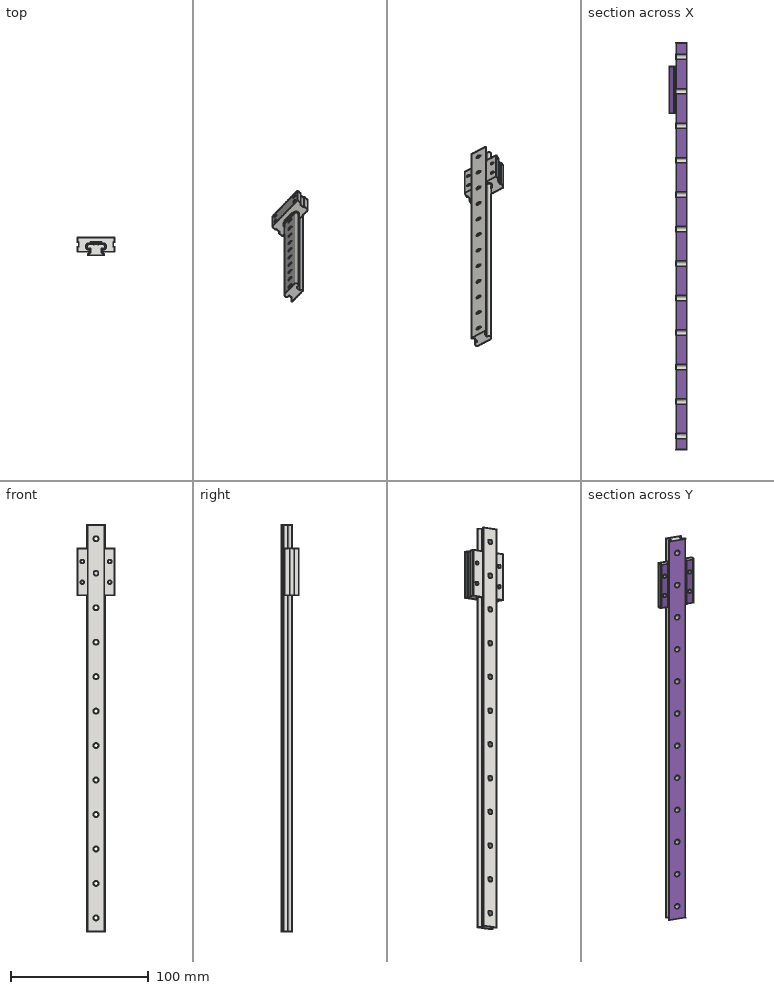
import cadquery as cq

RAIL_LENGTH = 295.0
RAIL_HEIGHT = 8.0
BASE_HALF_WIDTH = 6.0
BASE_EDGE_HEIGHT = 0.8
NECK_HALF_WIDTH = 4.0
NECK_BOTTOM = 2.0
HEAD_RADIUS = 1.6
HEAD_HALF_WIDTH = 6.6
HEAD_CENTER_Y = RAIL_HEIGHT - HEAD_RADIUS

RAIL_HOLE_DIAMETER = 3.5
RAIL_HOLE_PITCH = 25.0
RAIL_HOLE_COUNT = 12
RAIL_HOLE_SPAN = (RAIL_HOLE_COUNT - 1) * RAIL_HOLE_PITCH
RAIL_FIRST_HOLE_Z = (RAIL_LENGTH - RAIL_HOLE_SPAN) / 2

CARRIAGE_WIDTH = 27.0
CARRIAGE_LENGTH = 34.0
CARRIAGE_BOTTOM = 2.5
CARRIAGE_TOP = 13.0
CARRIAGE_END_GAP = 17.0
CARRIAGE_BASE_Z = RAIL_LENGTH - CARRIAGE_END_GAP - CARRIAGE_LENGTH
CARRIAGE_MIDDLE_Z = CARRIAGE_BASE_Z + CARRIAGE_LENGTH / 2
CORNER_CHAMFER = 0.3

SIDE_GROOVE_DEPTH = 0.9
SIDE_GROOVE_BOTTOM = 6.2
SIDE_GROOVE_TOP = 9.6

MOUNT_HOLE_DIAMETER = 2.5
MOUNT_HOLE_PITCH_X = 20.0
MOUNT_HOLE_PITCH_Z = 15.0

LINER_THICKNESS = 0.85
SLOT_HALF_WIDTH = 4.6
SLOT_FLARE = 0.5
TOP_LINER_HALF_WIDTH = 4.0
TOP_LINER_CLEARANCE = 0.65


def carriage_plane():
    """XY work plane at the lower end of the carriage."""
    return cq.Workplane("XY").workplane(offset=CARRIAGE_BASE_Z)


def carriage_box(x_min, x_max, y_min, y_max):
    """Bar along the full carriage length with the given XY limits."""
    middle = carriage_plane().center((x_min + x_max) / 2, (y_min + y_max) / 2)
    return middle.rect(x_max - x_min, y_max - y_min).extrude(CARRIAGE_LENGTH)


def cross_hole(diameter, x, z):
    """Cylinder along +Y, long enough to pierce the rail or the carriage at (x, z)."""
    return cq.Workplane("XZ").center(x, z).circle(diameter / 2).extrude(-CARRIAGE_TOP)


def head_outline(plane, offset):
    """Rail head outline grown evenly by an offset."""
    length = 2 * (HEAD_HALF_WIDTH + offset)
    return plane.center(0, HEAD_CENTER_Y).slot2D(length, 2 * (HEAD_RADIUS + offset))


def make_rail():
    foot = (
        cq.Workplane("XY")
        .moveTo(-BASE_HALF_WIDTH, 0)
        .lineTo(BASE_HALF_WIDTH, 0)
        .lineTo(BASE_HALF_WIDTH, BASE_EDGE_HEIGHT)
        .lineTo(NECK_HALF_WIDTH, NECK_BOTTOM)
        .lineTo(NECK_HALF_WIDTH, HEAD_CENTER_Y)
        .lineTo(-NECK_HALF_WIDTH, HEAD_CENTER_Y)
        .lineTo(-NECK_HALF_WIDTH, NECK_BOTTOM)
        .lineTo(-BASE_HALF_WIDTH, BASE_EDGE_HEIGHT)
        .close()
        .extrude(RAIL_LENGTH)
    )
    head = head_outline(cq.Workplane("XY"), 0).extrude(RAIL_LENGTH)
    rail = foot.union(head)
    for index in range(RAIL_HOLE_COUNT):
        z = RAIL_FIRST_HOLE_Z + index * RAIL_HOLE_PITCH
        rail = rail.cut(cross_hole(RAIL_HOLE_DIAMETER, 0, z))
    return rail


def make_top_liner():
    return carriage_box(
        -TOP_LINER_HALF_WIDTH, TOP_LINER_HALF_WIDTH,
        RAIL_HEIGHT, RAIL_HEIGHT + LINER_THICKNESS)


def make_side_liner(side):
    """C-shaped liner around one rounded side of the rail head; side is -1 or 1."""
    ring = head_outline(carriage_plane(), LINER_THICKNESS).extrude(CARRIAGE_LENGTH)
    ring = ring.cut(head_outline(carriage_plane(), 0).extrude(CARRIAGE_LENGTH))
    limits = sorted((side * SLOT_HALF_WIDTH, side * CARRIAGE_WIDTH / 2))
    below_top = carriage_box(*limits, 0, RAIL_HEIGHT)
    top_limits = sorted((side * TOP_LINER_HALF_WIDTH, side * CARRIAGE_WIDTH / 2))
    above_top = carriage_box(*top_limits, RAIL_HEIGHT, CARRIAGE_TOP)
    return ring.intersect(below_top.union(above_top))


def make_carriage():
    half_width = CARRIAGE_WIDTH / 2
    carriage = carriage_box(-half_width, half_width, CARRIAGE_BOTTOM, CARRIAGE_TOP)
    carriage = carriage.edges("|Z").chamfer(CORNER_CHAMFER)

    pocket = head_outline(carriage_plane(), LINER_THICKNESS).extrude(CARRIAGE_LENGTH)
    slot = carriage_box(-SLOT_HALF_WIDTH, SLOT_HALF_WIDTH, 0, HEAD_CENTER_Y)
    top_channel = carriage_box(
        -TOP_LINER_HALF_WIDTH, TOP_LINER_HALF_WIDTH,
        RAIL_HEIGHT, RAIL_HEIGHT + LINER_THICKNESS + TOP_LINER_CLEARANCE)
    carriage = carriage.cut(pocket).cut(slot).cut(top_channel)

    for side in (-1, 1):
        limits = sorted((side * (half_width - SIDE_GROOVE_DEPTH), side * half_width))
        carriage = carriage.cut(carriage_box(*limits, SIDE_GROOVE_BOTTOM, SIDE_GROOVE_TOP))

    flare_half_width = SLOT_HALF_WIDTH + SLOT_FLARE
    flare = (
        carriage_plane()
        .moveTo(-flare_half_width, CARRIAGE_BOTTOM)
        .lineTo(flare_half_width, CARRIAGE_BOTTOM)
        .lineTo(SLOT_HALF_WIDTH, CARRIAGE_BOTTOM + SLOT_FLARE)
        .lineTo(-SLOT_HALF_WIDTH, CARRIAGE_BOTTOM + SLOT_FLARE)
        .close()
        .extrude(CARRIAGE_LENGTH)
    )
    carriage = carriage.cut(flare)

    for x in (-MOUNT_HOLE_PITCH_X / 2, MOUNT_HOLE_PITCH_X / 2):
        for z_offset in (-MOUNT_HOLE_PITCH_Z / 2, MOUNT_HOLE_PITCH_Z / 2):
            carriage = carriage.cut(cross_hole(MOUNT_HOLE_DIAMETER, x, CARRIAGE_MIDDLE_Z + z_offset))
    return carriage


rail = make_rail()
carriage = make_carriage()
top_liner = make_top_liner()
side_liners = [make_side_liner(side) for side in (-1, 1)]
result = cq.Compound.makeCompound([
    rail.val(),
    carriage.val(),
    top_liner.val(),
    *[liner.val() for liner in side_liners],
])